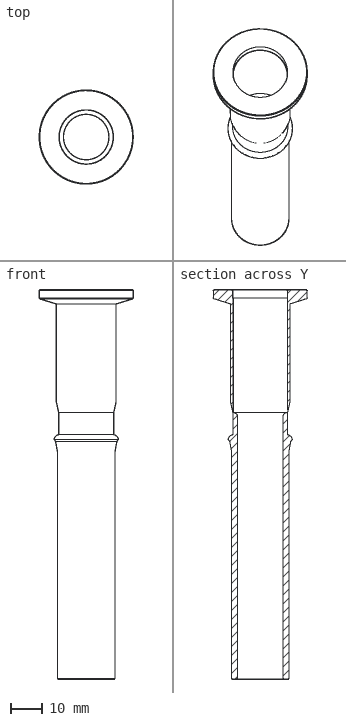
import cadquery as cq

length = 123.8

flange_radius = 15.0
rim_thickness = 2.7
flange_thickness = 4.6
rim_chamfer = 0.2

upper_radius = 9.5
neck_radius = 8.8
lower_radius = 9.2
bead_radius = 10.3
bead_cone_radius = 9.8
bead_round = 1.9

taper_start = 35.7
neck_start = 39.0
bead_start = 46.1
bead_widest = 47.5
bead_end = 48.2
bead_cone_end = 51.6

end_chamfer = 0.2

recess_radius = 8.7
recess_depth = 2.7
upper_bore_radius = 8.5
lower_bore_radius = 7.2
bore_step_round = upper_bore_radius - lower_bore_radius


def height(depth):
    """Z of a point at the given depth below the flange face."""
    return length - depth


def outer_body():
    """Flange, stepped tube and bead as one solid of revolution."""
    profile = (
        cq.Workplane("XZ")
        .moveTo(0, 0)
        .lineTo(lower_radius - end_chamfer, 0)
        .lineTo(lower_radius, end_chamfer)
        .lineTo(lower_radius, height(bead_cone_end))
        .lineTo(bead_cone_radius, height(bead_end))
        .lineTo(bead_radius, height(bead_widest))
        .radiusArc((neck_radius, height(bead_start)), -bead_round)
        .lineTo(neck_radius, height(neck_start))
        .lineTo(upper_radius, height(taper_start))
        .lineTo(upper_radius, height(flange_thickness))
        .lineTo(flange_radius - rim_chamfer, height(rim_thickness + rim_chamfer))
        .lineTo(flange_radius, height(rim_thickness))
        .lineTo(flange_radius, height(rim_chamfer))
        .lineTo(flange_radius - rim_chamfer, length)
        .lineTo(0, length)
        .close()
    )
    return profile.revolve(360, (0, 0, 0), (0, 1, 0))


def bore():
    """Through bore with a rounded step inside the neck and a recess in the flange."""
    step_top = height(neck_start)
    profile = (
        cq.Workplane("XZ")
        .moveTo(0, 0)
        .lineTo(lower_bore_radius, 0)
        .lineTo(lower_bore_radius, step_top - bore_step_round)
        .radiusArc((upper_bore_radius, step_top), bore_step_round)
        .lineTo(upper_bore_radius, height(recess_depth))
        .lineTo(recess_radius, height(recess_depth))
        .lineTo(recess_radius, length)
        .lineTo(0, length)
        .close()
    )
    return profile.revolve(360, (0, 0, 0), (0, 1, 0))


result = outer_body().cut(bore())